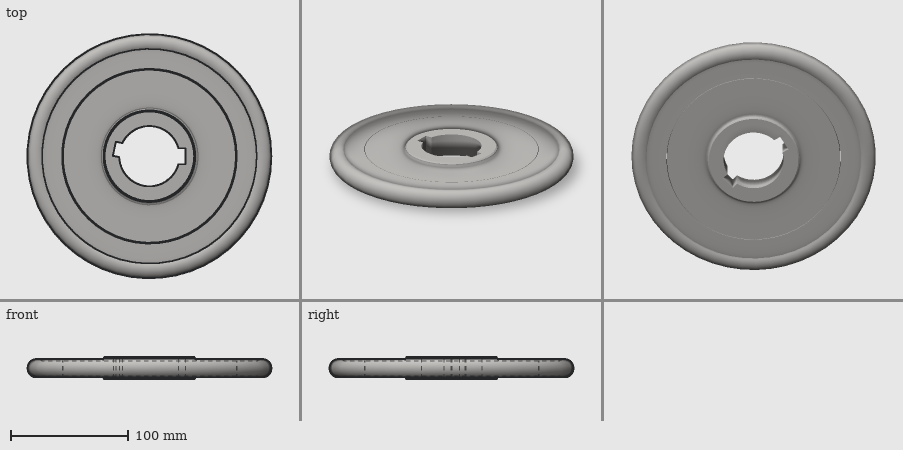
import cadquery as cq
import math

outer_diameter = 208.2
rim_thickness = 15.8
web_thickness = 12.7
disc_diameter = 147.8
ring_gap = 0.5

hub_diameter = 78.3
hub_length = 19.2
hub_chamfer = 1.0
hub_root_fillet = 2.0

bore_diameter = 51.2
main_key_width = 13.3
main_key_reach = 30.5
main_key_angle = 0.0
second_key_width = 12.0
second_key_reach = 30.4
second_key_angle = 168.0

rim_radius = rim_thickness / 2
rim_center_radius = outer_diameter / 2 - rim_radius
half_web = web_thickness / 2
rim_root_radius = rim_center_radius - math.sqrt(rim_radius**2 - half_web**2)
disc_radius = disc_diameter / 2
ring_inner_radius = disc_radius + ring_gap


def make_rim_ring():
    """Flat annular web that ends in a full-round rim."""
    profile = (
        cq.Workplane("XZ")
        .moveTo(ring_inner_radius, -half_web)
        .lineTo(rim_root_radius, -half_web)
        .threePointArc((outer_diameter / 2, 0), (rim_root_radius, half_web))
        .lineTo(ring_inner_radius, half_web)
        .close()
    )
    return profile.revolve(360, (0, 0, 0), (0, 1, 0))


def make_cylinder(radius, height):
    """Cylinder on the Z axis, centred on the mid-plane."""
    return cq.Workplane("XY").cylinder(height, radius)


def make_keyway_cutter(width, reach, angle):
    """Block from the bore axis out to the keyway floor, turned to its angle."""
    block = cq.Workplane("XY").box(reach, width, hub_length, centered=(False, True, True))
    return block.rotate((0, 0, 0), (0, 0, 1), angle)


def make_hub_disc():
    """Disc with a hub raised on both faces, bored and keyed."""
    web = make_cylinder(disc_radius, web_thickness)
    hub = make_cylinder(hub_diameter / 2, hub_length).faces("<Z or >Z").chamfer(hub_chamfer)
    disc = web.union(hub)

    zone_height = (half_web + hub_length / 2 - hub_chamfer) / 2
    web_zone = cq.selectors.BoxSelector(
        (-disc_diameter, -disc_diameter, -zone_height),
        (disc_diameter, disc_diameter, zone_height),
    )
    disc = disc.edges(web_zone).edges(cq.selectors.RadiusNthSelector(0)).fillet(hub_root_fillet)

    bore = make_cylinder(bore_diameter / 2, hub_length)
    main_keyway = make_keyway_cutter(main_key_width, main_key_reach, main_key_angle)
    second_keyway = make_keyway_cutter(second_key_width, second_key_reach, second_key_angle)
    return disc.cut(bore).cut(main_keyway).cut(second_keyway)


rim_ring = make_rim_ring()
hub_disc = make_hub_disc()

result = cq.Compound.makeCompound([rim_ring.val(), hub_disc.val()])